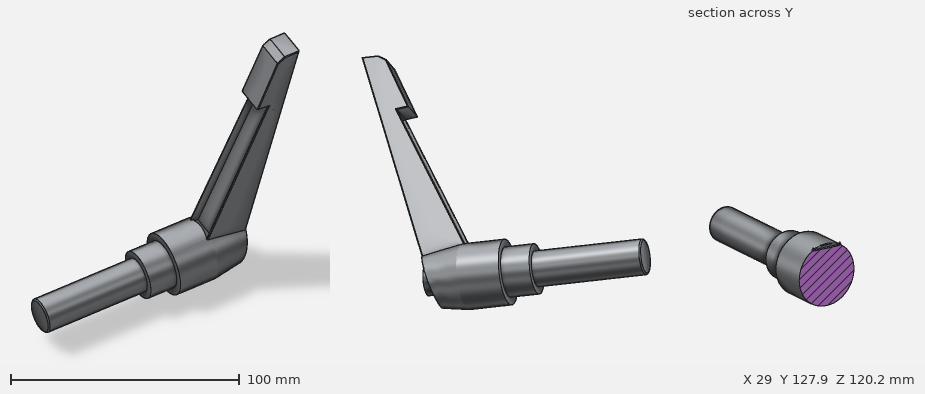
import cadquery as cq
import math

overall_height = 120.2
hub_radius = 29.0 / 2
hub_length = 19.2
hub_cone_end_radius = 11.4
hub_cone_length = 20.0
collar_radius = 11.1
collar_length = 13.0
shaft_radius = 7.9
shaft_end = 62.9
shaft_chamfer = 0.6
pin_radius = 6.5
pin_end = 37.1

tip_height = overall_height - hub_radius
tip_back = (65.0, tip_height)
tip_front = (57.5, tip_height)
grip_top = (53.8, 103.5)
grip_bottom = (43.5, 80.0)
notch_root = (49.0, 79.4)
lever_front_foot = (17.6, 12.5)
lever_back_foot = (37.3, 9.5)
tip_width = 13.3
foot_width = 15.3
lever_edge_chamfer = 0.4

pocket_tip_width = 12.7
pocket_foot_width = 13.5
pocket_depth = 4.1


def y_cylinder(radius, y_start, y_end):
    """Cylinder about the spindle axis between two Y positions."""
    return cq.Workplane("XZ", origin=(0, y_start, 0)).circle(radius).extrude(y_start - y_end)


def point_on_line(start, end, z):
    """Point at height z on the line through two (Y, Z) points."""
    share = (z - start[1]) / (end[1] - start[1])
    return (start[0] + share * (end[0] - start[0]), z)


def tapered_slab(z_low, z_high, width_low, width_high, y_length):
    """Slab centred on X = 0 whose width changes evenly with height."""
    outline = [
        (-width_low / 2, z_low),
        (width_low / 2, z_low),
        (width_high / 2, z_high),
        (-width_high / 2, z_high),
    ]
    return cq.Workplane("XZ").polyline(outline).close().extrude(-y_length)


def make_hub():
    """Cylinder and cone, with the rear cut off along the lever's sloping back."""
    cone_end = hub_length + hub_cone_length
    half_section = [
        (0, 0),
        (hub_radius, 0),
        (hub_radius, hub_length),
        (hub_cone_end_radius, cone_end),
        (0, cone_end),
    ]
    hub = (
        cq.Workplane("XY")
        .polyline(half_section)
        .close()
        .revolve(360, (0, 0, 0), (0, 1, 0))
    )
    low = point_on_line(tip_back, lever_back_foot, -2 * hub_radius)
    high = point_on_line(tip_back, lever_back_foot, 2 * hub_radius)
    behind = (
        cq.Workplane("YZ")
        .polyline([low, high, (2 * cone_end, high[1]), (2 * cone_end, low[1])])
        .close()
        .extrude(2 * hub_radius, both=True)
    )
    return hub.cut(behind)


def make_lever():
    """Side outline of the lever, narrowed towards its tip, with bevelled side edges."""
    outline = [
        tip_back,
        tip_front,
        grip_top,
        grip_bottom,
        notch_root,
        lever_front_foot,
        (lever_front_foot[0], 0),
        point_on_line(tip_back, lever_back_foot, 0),
    ]
    blank = cq.Workplane("YZ").polyline(outline).close().extrude(foot_width, both=True)
    lever = blank.intersect(tapered_slab(0, tip_back[1], foot_width, tip_width, tip_back[0]))
    return lever.edges("not |X").chamfer(lever_edge_chamfer)


def make_pocket():
    """Pocket sunk square to the lever's front face, from the notch to the foot."""
    rise_y = notch_root[0] - lever_front_foot[0]
    rise_z = notch_root[1] - lever_front_foot[1]
    face_length = math.hypot(rise_y, rise_z)
    plane = cq.Plane(
        origin=(0, *lever_front_foot),
        xDir=(1, 0, 0),
        normal=(0, -rise_z, rise_y),
    )
    outline = [
        (-pocket_foot_width / 2, 0),
        (pocket_foot_width / 2, 0),
        (pocket_tip_width / 2, face_length),
        (-pocket_tip_width / 2, face_length),
    ]
    return cq.Workplane(plane).polyline(outline).close().extrude(-pocket_depth)


shaft = y_cylinder(shaft_radius, -shaft_end, 0).faces("<Y").chamfer(shaft_chamfer)
collar = y_cylinder(collar_radius, -collar_length, 0)
pin = y_cylinder(pin_radius, 0, pin_end)

result = make_hub().union(make_lever()).cut(make_pocket()).union(pin).union(collar).union(shaft)